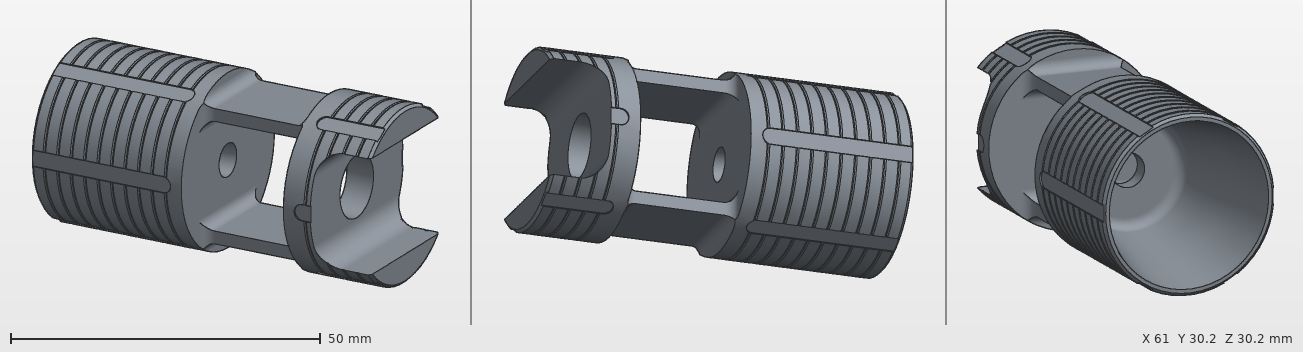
import cadquery as cq

LENGTH = 61.0
RADIUS = 15.1
END_CHAMFER = 0.5

WINDOW_START = 28.0
WINDOW_END = 47.0
STRAP_WIDTH = 14.95
STRAP_INNER_Z = 9.45
STRAP_THICKNESS = 2.2
STRAP_FILLET = 1.95

CUP_MOUTH_RADIUS = 13.95
CUP_FLOOR_RADIUS = 9.6
CUP_DEPTH = 25.0
CUP_FILLET = 1.9
SLEEVE_HOLE_DIAMETER = 5.75

FLANGE_HOLE_DIAMETER = 10.85
FORK_START = 52.0
FORK_GAP = 20.0
FORK_CORNER_RADIUS = 4.0

GROOVE_PITCH = 2.5
GROOVE_WIDTH = 0.5
GROOVE_DEPTH = 0.1
SLEEVE_GROOVES = 10
FLANGE_GROOVES = 4
FLUTE_COUNT = 6
FLUTE_WIDTH = 2.8
FLUTE_DEPTH = 0.3
SLEEVE_FLUTE_END = 26.0
FLANGE_FLUTE_START = 49.0

STOCK = 2.4 * RADIUS
CLEARANCE = 0.6


def block(x_start, x_end, width, height, z_center=0.0):
    """Box between two X positions, centred on Y."""
    return (
        cq.Workplane("XY")
        .box(x_end - x_start, width, height, centered=(False, True, True))
        .translate((x_start, 0, z_center))
    )


def make_body():
    """Sleeve and flange joined by two straps with filleted roots, turned to the round."""
    strap_z = STRAP_INNER_Z + STRAP_THICKNESS / 2
    body = block(0, WINDOW_START, STOCK, STOCK).union(block(WINDOW_END, LENGTH, STOCK, STOCK))
    for side in (-1, 1):
        body = body.union(block(WINDOW_START, WINDOW_END, STRAP_WIDTH, STRAP_THICKNESS, side * strap_z))

    root_y = STRAP_WIDTH / 2 + CLEARANCE
    root_z = STRAP_INNER_Z + STRAP_THICKNESS + CLEARANCE
    for x in (WINDOW_START, WINDOW_END):
        roots = cq.selectors.BoxSelector((x - CLEARANCE, -root_y, -root_z), (x + CLEARANCE, root_y, root_z))
        body = body.edges(roots).fillet(STRAP_FILLET)

    bar = cq.Workplane("YZ").circle(RADIUS).extrude(LENGTH).faces("<X or >X").chamfer(END_CHAMFER)
    return body.intersect(bar)


def make_cup():
    """Tapered cup with a filleted floor, opening at X = 0."""
    cone = (
        cq.Workplane("XY")
        .polyline([(0, 0), (0, CUP_MOUTH_RADIUS), (CUP_DEPTH, CUP_FLOOR_RADIUS), (CUP_DEPTH, 0)])
        .close()
        .revolve(360, (0, 0, 0), (1, 0, 0))
    )
    return cone.faces(">X").edges().fillet(CUP_FILLET)


def hole(diameter, x_start, x_end):
    """Round hole on the body axis."""
    return cq.Workplane("YZ", origin=(x_start, 0, 0)).circle(diameter / 2).extrude(x_end - x_start)


def make_fork_gap():
    """Gap across the flange end, with two rounded inner corners."""
    gap = block(FORK_START, LENGTH + CLEARANCE, STOCK, FORK_GAP)
    return gap.faces("<X").edges("|Y").fillet(FORK_CORNER_RADIUS)


def make_groove(x):
    """V-shaped ring groove centred at x."""
    half = GROOVE_WIDTH / 2
    outer = RADIUS + GROOVE_DEPTH
    return (
        cq.Workplane("XY")
        .polyline([
            (x - half, outer),
            (x - half, RADIUS),
            (x, RADIUS - GROOVE_DEPTH),
            (x + half, RADIUS),
            (x + half, outer),
        ])
        .close()
        .revolve(360, (0, 0, 0), (1, 0, 0))
    )


def make_flute(x_start, x_end, angle):
    """Flat-bottomed slot with round ends, turned about X by an angle from +Z."""
    length = x_end - x_start
    return (
        cq.Workplane("XY", origin=((x_start + x_end) / 2, 0, RADIUS - FLUTE_DEPTH))
        .slot2D(length, FLUTE_WIDTH)
        .extrude(FLUTE_DEPTH + CLEARANCE)
        .rotate((0, 0, 0), (1, 0, 0), angle)
    )


result = make_body()
result = result.cut(make_cup())
result = result.cut(hole(SLEEVE_HOLE_DIAMETER, 0, WINDOW_START))
result = result.cut(hole(FLANGE_HOLE_DIAMETER, WINDOW_END, LENGTH))
result = result.cut(make_fork_gap())

groove_places = [GROOVE_PITCH * i for i in range(1, SLEEVE_GROOVES + 1)]
groove_places += [LENGTH - GROOVE_PITCH * i for i in range(1, FLANGE_GROOVES + 1)]
for place in groove_places:
    result = result.cut(make_groove(place))

for i in range(FLUTE_COUNT):
    flute_angle = (i + 0.5) * 360 / FLUTE_COUNT
    result = result.cut(make_flute(-FLUTE_WIDTH, SLEEVE_FLUTE_END, flute_angle))
    result = result.cut(make_flute(FLANGE_FLUTE_START, LENGTH + FLUTE_WIDTH, flute_angle))